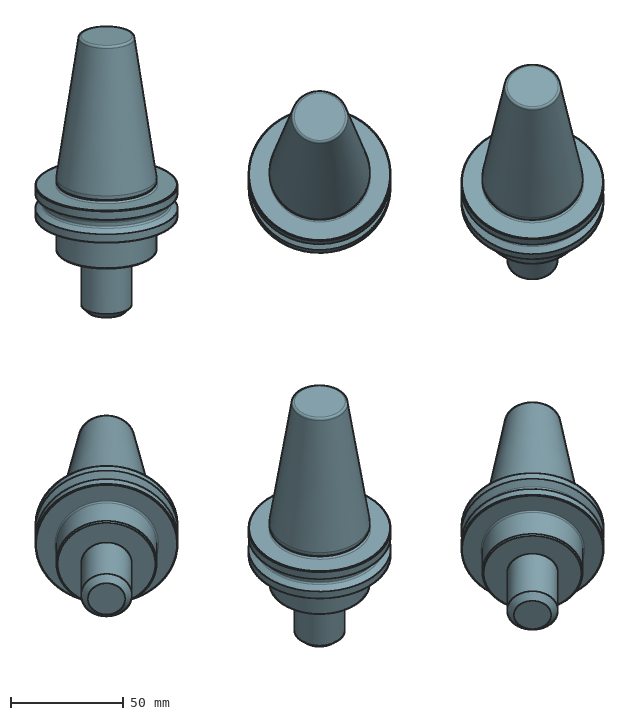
import cadquery as cq
import math

total_height = 131.8
body_bottom_z = 28.7
flange_bottom_z = 44.9
flange_top_z = 60.5
collar_bottom_z = 62.0
taper_bottom_z = 64.0

pin_radius = 11.3
body_radius = 22.4
flange_radius = 31.8
groove_floor_radius = 56.4 / 2
taper_top_radius = 12.4

pin_chamfer = 3.0
body_chamfer = 0.7
flange_chamfer = 0.4
neck_fillet = 0.7
relief_depth = 0.5
relief_fillet = 0.8
taper_top_fillet = 1.2

groove_width = 7.0
groove_flank_angle = 30.0
groove_fillet = 1.0


def make_blank():
    """Revolve the whole outline about Z, without the flange groove."""
    relief_radius = body_radius - relief_depth
    return (
        cq.Workplane("XZ")
        .moveTo(0, 0)
        .lineTo(pin_radius - pin_chamfer, 0)
        .lineTo(pin_radius, pin_chamfer)
        .lineTo(pin_radius, body_bottom_z)
        .lineTo(body_radius - body_chamfer, body_bottom_z)
        .lineTo(body_radius, body_bottom_z + body_chamfer)
        .lineTo(body_radius, flange_bottom_z - neck_fillet)
        .radiusArc((body_radius + neck_fillet, flange_bottom_z), neck_fillet)
        .lineTo(flange_radius - flange_chamfer, flange_bottom_z)
        .lineTo(flange_radius, flange_bottom_z + flange_chamfer)
        .lineTo(flange_radius, flange_top_z - flange_chamfer)
        .lineTo(flange_radius - flange_chamfer, flange_top_z)
        .lineTo(relief_radius + relief_fillet, flange_top_z)
        .radiusArc((relief_radius, flange_top_z + relief_fillet), relief_fillet)
        .lineTo(body_radius, collar_bottom_z)
        .lineTo(body_radius, taper_bottom_z)
        .lineTo(taper_top_radius, total_height)
        .lineTo(0, total_height)
        .close()
        .revolve(360, (0, 0, 0), (0, 1, 0))
        .faces(">Z").edges().fillet(taper_top_fillet)
    )


def make_groove_cutter():
    """Ring with a flat floor, sloping flanks and rounded floor corners."""
    middle_z = (flange_bottom_z + flange_top_z) / 2
    flank_slope = math.tan(math.radians(groove_flank_angle))
    half_mouth = groove_width / 2
    half_floor = half_mouth - (flange_radius - groove_floor_radius) * flank_slope
    clearance = 1.3
    half_outer = half_mouth + clearance * flank_slope
    outer_radius = flange_radius + clearance
    turn = math.radians(90 - groove_flank_angle)
    tangent = groove_fillet * math.tan(turn / 2)
    tangent_radius = groove_floor_radius + tangent * math.sin(turn)
    half_tangent = half_floor + tangent * math.cos(turn)
    half_flat = half_floor - tangent
    return (
        cq.Workplane("XZ")
        .moveTo(outer_radius, middle_z - half_outer)
        .lineTo(outer_radius, middle_z + half_outer)
        .lineTo(tangent_radius, middle_z + half_tangent)
        .radiusArc((groove_floor_radius, middle_z + half_flat), -groove_fillet)
        .lineTo(groove_floor_radius, middle_z - half_flat)
        .radiusArc((tangent_radius, middle_z - half_tangent), -groove_fillet)
        .close()
        .revolve(360, (0, 0, 0), (0, 1, 0))
    )


result = make_blank().cut(make_groove_cutter())